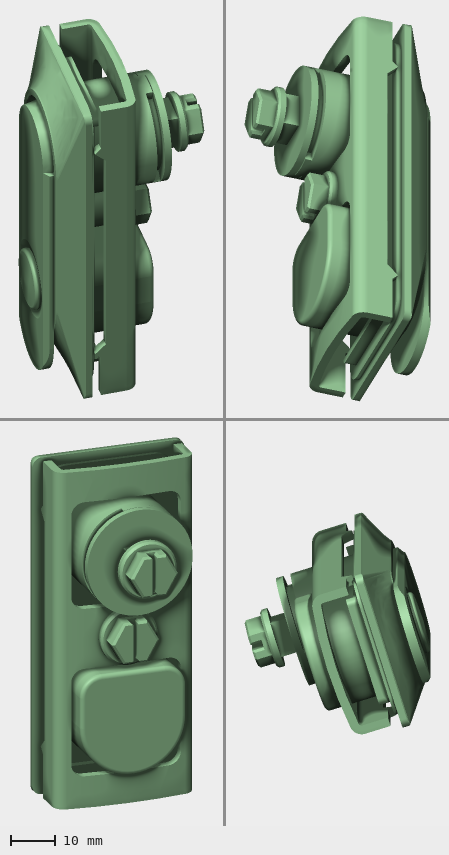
import cadquery as cq
import math


LENGTH = 80.0
SPINDLE_Z = 20.0
BUTTON_Z = -17.0
CLEARANCE = 0.2

BEZEL_WIDTH = 36.0
BEZEL_CORNER = 2.0
PLATE_FRONT_Y = -1.55
PLATE_BEVEL = 0.25
SLOPE_CORNER = 1.0
FACE_Y = -7.0
RIM_RADIUS = 13.2
RIM_BEVEL = 0.25
CORNER_STRIP_ANGLE = 4.0

GASKET_WIDTH = 31.0
GASKET_LENGTH = 75.5
GASKET_CORNER = 5.0
GASKET_BACK_Y = 1.0
BLOCK_WIDTH = 25.0
BLOCK_LENGTH = 68.6
BLOCK_CORNER = 1.5
BLOCK_BACK_Y = 2.0
TAB_BACK_Y = 3.7
BOSS_RADIUS = BLOCK_WIDTH / 2
BOSS_BACK_Y = 16.6
LOCK_BACK_Y = 16.0
LOCK_TOP_Z = -7.25
LOCK_ROUND_Z = -19.4
LOCK_CORNER = 5.0
LOCK_FILLET = 1.0
POST_RADIUS = 4.4

STOP_INNER_RADIUS = 10.0
STOP_OUTER_RADIUS = BOSS_RADIUS
STOP_SPAN = 30.0
HOUSING_STOP_START = 75.0
SPINDLE_STOP_START = HOUSING_STOP_START + STOP_SPAN

HANDLE_HALF_WIDTH = 11.25
HANDLE_FRONT_Y = -9.05
HANDLE_TIP_RADIUS = 9.65
RECESS_DEPTH = 5.0
RECESS_FLOOR_Y = FACE_Y + RECESS_DEPTH
RECESS_RADIUS = HANDLE_HALF_WIDTH + CLEARANCE
HANDLE_BEVEL_WIDTH = HANDLE_HALF_WIDTH - HANDLE_TIP_RADIUS
HANDLE_BEVEL_DEPTH = 1.05
DISH_RADIUS = 9.0
DISH_DEPTH = 0.4
BUTTON_RADIUS = 7.0
BUTTON_TOP_RADIUS = 6.15
BUTTON_SHOULDER_Y = -9.4
BUTTON_EDGE_Y = -10.05
BUTTON_TIP_Y = -10.5

DISC_BACK_Y = 20.0
DISC_FRONT_Y = 18.4
DISC_RADIUS = BOSS_RADIUS
SHAFT_RADIUS = 5.0
SQUARE_SIZE = 8.0
SQUARE_BACK_Y = 23.9

SCREW_Z = 0.0
HEX_CORNER_RADIUS = 5.6
HEX_HEIGHT = 4.0
HEX_BEVEL = 0.5
SCREW_FLANGE_RADIUS = 6.75
SCREW_FLANGE_HEIGHT = 1.75
SCREW_FLANGE_BEVEL = 0.5
SCREW_SLOT_WIDTH = 1.3
SCREW_SLOT_FLARE = 0.55
SCREW_SLOT_DEPTH = 2.7
SHANK_RADIUS = 3.0
SHANK_LENGTH = 9.0

BRACKET_WIDTH = 33.0
BRACKET_SHEET = 2.0
BRACKET_PEAK_Y = 12.0
BRACKET_ARCH_RADIUS = 100.0
BRACKET_BEND = 2.75
LEG_END_Y = 2.4
LEG_MIDDLE_Y = 3.5
POINT_Z = 28.2
POINT_END_Z = 29.5
POINT_MIDDLE_Z = 25.9
WINDOW_WIDTH = 26.0
WINDOW_CORNER = 3.0
UPPER_WINDOW = (7.3, 32.65)
LOWER_WINDOW = (-32.5, -6.95)
CLAMP_SEAT_Y = 11.75


def at_y(y):
    """Sketch plane with X across and Z up; extrusions run toward -Y."""
    return cq.Workplane("XZ", origin=(0, y, 0))


def disc(radius, back_y, front_y, z):
    return at_y(back_y).center(0, z).circle(radius).extrude(back_y - front_y)


def block(width, length, back_y, front_y, corner):
    return at_y(back_y).rect(width, length).extrude(back_y - front_y).edges("|Y").fillet(corner)


def capsule(half_width, upper_z, lower_z, back_y, front_y):
    """Round-ended slab with its two arc centres at upper_z and lower_z."""
    return (
        at_y(back_y)
        .moveTo(-half_width, lower_z)
        .lineTo(-half_width, upper_z)
        .threePointArc((0, upper_z + half_width), (half_width, upper_z))
        .lineTo(half_width, lower_z)
        .threePointArc((0, lower_z - half_width), (-half_width, lower_z))
        .close()
        .extrude(back_y - front_y)
    )


def cone_slab(radius_back, radius_front, back_y, front_y, z):
    return cq.Workplane(
        cq.Solid.makeCone(
            radius_back, radius_front, back_y - front_y, cq.Vector(0, back_y, z), cq.Vector(0, -1, 0)
        )
    )


def polar(radius, angle, center_x, center_z):
    return (
        center_x + radius * math.cos(math.radians(angle)),
        center_z + radius * math.sin(math.radians(angle)),
    )


def ring_sector(start_angle, back_y, front_y):
    """Stop lug around the spindle axis."""

    def point(radius, angle):
        return polar(radius, angle, 0, SPINDLE_Z)

    middle = start_angle + STOP_SPAN / 2
    end = start_angle + STOP_SPAN
    return (
        at_y(back_y)
        .moveTo(*point(STOP_INNER_RADIUS, start_angle))
        .lineTo(*point(STOP_OUTER_RADIUS, start_angle))
        .threePointArc(point(STOP_OUTER_RADIUS, middle), point(STOP_OUTER_RADIUS, end))
        .lineTo(*point(STOP_INNER_RADIUS, end))
        .threePointArc(point(STOP_INNER_RADIUS, middle), point(STOP_INNER_RADIUS, start_angle))
        .close()
        .extrude(back_y - front_y)
    )


def rectangle_wire(inset, radius, y):
    """Rounded rectangle of the bezel plate, one edge for each edge of rim_wire."""
    half_width = BEZEL_WIDTH / 2 - inset
    half_length = LENGTH / 2 - inset
    x = half_width - radius
    z = half_length - radius
    return (
        at_y(y)
        .moveTo(-half_width, -z)
        .lineTo(-half_width, z)
        .threePointArc(polar(radius, 135, -x, z), (-x, half_length))
        .lineTo(x, half_length)
        .threePointArc(polar(radius, 45, x, z), (half_width, z))
        .lineTo(half_width, -z)
        .threePointArc(polar(radius, -45, x, -z), (x, -half_length))
        .lineTo(-x, -half_length)
        .threePointArc(polar(radius, -135, -x, -z), (-half_width, -z))
        .close()
        .val()
    )


def rim_wire(radius, y):
    """Round-ended rim outline; a short piece of each end arc belongs to a bezel corner."""
    strip = CORNER_STRIP_ANGLE

    def upper(angle):
        return polar(radius, angle, 0, SPINDLE_Z)

    def lower(angle):
        return polar(radius, angle, 0, BUTTON_Z)

    return (
        at_y(y)
        .moveTo(*lower(180))
        .lineTo(*upper(180))
        .threePointArc(upper(180 - strip / 2), upper(180 - strip))
        .threePointArc(upper(90), upper(strip))
        .threePointArc(upper(strip / 2), upper(0))
        .lineTo(*lower(0))
        .threePointArc(lower(-strip / 2), lower(-strip))
        .threePointArc(lower(-90), lower(strip - 180))
        .threePointArc(lower(strip / 2 - 180), lower(-180))
        .close()
        .val()
    )


def loft(first_wire, second_wire):
    return cq.Workplane(cq.Solid.makeLoft([first_wire, second_wire], True))


def make_bezel():
    plate = block(BEZEL_WIDTH, LENGTH, 0, PLATE_FRONT_Y, BEZEL_CORNER)
    bevel_y = PLATE_FRONT_Y - PLATE_BEVEL
    rim_y = FACE_Y + RIM_BEVEL
    plate_wire = rectangle_wire(0, BEZEL_CORNER, PLATE_FRONT_Y)
    slope_wire = rectangle_wire(PLATE_BEVEL, SLOPE_CORNER, bevel_y)
    bevel = loft(plate_wire, slope_wire)
    slopes = loft(slope_wire, rim_wire(RIM_RADIUS, rim_y))
    rim = loft(rim_wire(RIM_RADIUS, rim_y), rim_wire(RIM_RADIUS - RIM_BEVEL, FACE_Y))
    return plate.union(bevel).union(slopes).union(rim)


def make_housing_back():
    gasket = block(GASKET_WIDTH, GASKET_LENGTH, GASKET_BACK_Y, 0, GASKET_CORNER)
    base = block(BLOCK_WIDTH, BLOCK_LENGTH, TAB_BACK_Y, 0, BLOCK_CORNER)
    between_tabs = at_y(TAB_BACK_Y).rect(BLOCK_WIDTH, BLOCK_LENGTH - 2 * BLOCK_CORNER)
    base = base.cut(between_tabs.extrude(TAB_BACK_Y - BLOCK_BACK_Y))
    boss = disc(BOSS_RADIUS, BOSS_BACK_Y, 0, SPINDLE_Z)
    post = disc(POST_RADIUS, BRACKET_PEAK_Y - BRACKET_SHEET - CLEARANCE, 0, SCREW_Z)
    back = gasket.union(base).union(boss).union(post).union(make_lock_case())
    for start in (HOUSING_STOP_START, HOUSING_STOP_START + 180):
        back = back.union(ring_sector(start, DISC_FRONT_Y - CLEARANCE, BOSS_BACK_Y))
    return back


def make_lock_case():
    half_width = BLOCK_WIDTH / 2
    corner_z = LOCK_TOP_Z - LOCK_CORNER
    corner_x = half_width - LOCK_CORNER
    case = (
        at_y(LOCK_BACK_Y)
        .moveTo(-half_width, LOCK_ROUND_Z)
        .lineTo(-half_width, corner_z)
        .threePointArc(polar(LOCK_CORNER, 135, -corner_x, corner_z), (-corner_x, LOCK_TOP_Z))
        .lineTo(corner_x, LOCK_TOP_Z)
        .threePointArc(polar(LOCK_CORNER, 45, corner_x, corner_z), (half_width, corner_z))
        .lineTo(half_width, LOCK_ROUND_Z)
        .threePointArc((0, LOCK_ROUND_Z - half_width), (-half_width, LOCK_ROUND_Z))
        .close()
        .extrude(LOCK_BACK_Y)
    )
    return case.faces(">Y").edges().fillet(LOCK_FILLET)


def make_housing():
    housing = make_bezel().union(make_housing_back())
    recess = capsule(RECESS_RADIUS, SPINDLE_Z, BUTTON_Z, RECESS_FLOOR_Y, FACE_Y)
    spindle_bore = disc(SHAFT_RADIUS, BOSS_BACK_Y, RECESS_FLOOR_Y, SPINDLE_Z)
    shank_end_y = CLAMP_SEAT_Y - SHANK_LENGTH
    screw_bore = disc(SHANK_RADIUS, BRACKET_PEAK_Y, shank_end_y, SCREW_Z)
    return housing.cut(recess).cut(spindle_bore).cut(screw_bore)


def make_lever():
    tip_cone = cone_slab(
        HANDLE_HALF_WIDTH, HANDLE_TIP_RADIUS, RECESS_FLOOR_Y, HANDLE_FRONT_Y, SPINDLE_Z
    )
    insert = capsule(HANDLE_HALF_WIDTH, SPINDLE_Z, BUTTON_Z, RECESS_FLOOR_Y, FACE_Y)
    grip_round_z = HANDLE_HALF_WIDTH - LENGTH / 2
    grip = capsule(HANDLE_HALF_WIDTH, SPINDLE_Z, grip_round_z, FACE_Y, HANDLE_FRONT_Y)
    above_axis = (
        cq.Workplane()
        .box(BEZEL_WIDTH, LENGTH, LENGTH, centered=(True, True, False))
        .translate((0, 0, SPINDLE_Z))
    )
    lever = insert.union(grip).cut(above_axis).union(tip_cone)
    for side in (-1, 1):
        bevel = (
            cq.Workplane("XY", origin=(0, 0, -LENGTH / 2))
            .moveTo(side * HANDLE_HALF_WIDTH, HANDLE_FRONT_Y)
            .lineTo(side * (HANDLE_HALF_WIDTH - HANDLE_BEVEL_WIDTH), HANDLE_FRONT_Y)
            .lineTo(side * HANDLE_HALF_WIDTH, HANDLE_FRONT_Y + HANDLE_BEVEL_DEPTH)
            .close()
            .extrude(LENGTH / 2 + SPINDLE_Z)
        )
        lever = lever.cut(bevel)
    return lever


def make_button():
    edge_drop = BUTTON_RADIUS - BUTTON_TOP_RADIUS
    arc_middle = math.sqrt(0.5)
    edge_height = BUTTON_SHOULDER_Y - BUTTON_EDGE_Y
    return (
        cq.Workplane("XY")
        .moveTo(0, HANDLE_FRONT_Y + 2 * DISH_DEPTH)
        .lineTo(BUTTON_RADIUS, HANDLE_FRONT_Y + 2 * DISH_DEPTH)
        .lineTo(BUTTON_RADIUS, BUTTON_SHOULDER_Y)
        .threePointArc(
            (BUTTON_TOP_RADIUS + edge_drop * arc_middle, BUTTON_SHOULDER_Y - edge_height * arc_middle),
            (BUTTON_TOP_RADIUS, BUTTON_EDGE_Y),
        )
        .lineTo(0, BUTTON_TIP_Y)
        .close()
        .revolve(360, (0, 0, 0), (0, 1, 0))
        .translate((0, 0, BUTTON_Z))
    )


def make_spindle():
    shaft = disc(SHAFT_RADIUS, BOSS_BACK_Y, RECESS_FLOOR_Y, SPINDLE_Z)
    neck = disc(STOP_INNER_RADIUS, DISC_FRONT_Y, BOSS_BACK_Y, SPINDLE_Z)
    stop_disc = disc(DISC_RADIUS, DISC_BACK_Y, DISC_FRONT_Y, SPINDLE_Z)
    square = (
        at_y(SQUARE_BACK_Y)
        .center(0, SPINDLE_Z)
        .rect(SQUARE_SIZE, SQUARE_SIZE)
        .extrude(SQUARE_BACK_Y - DISC_BACK_Y)
    )
    spindle = shaft.union(neck).union(stop_disc).union(square)
    for start in (SPINDLE_STOP_START, SPINDLE_STOP_START + 180):
        spindle = spindle.union(ring_sector(start, DISC_FRONT_Y, BOSS_BACK_Y + CLEARANCE))
    screw_bore = disc(SHANK_RADIUS, SQUARE_BACK_Y, SQUARE_BACK_Y - SHANK_LENGTH, SPINDLE_Z)
    return spindle.cut(screw_bore)


def make_handle():
    dish = cone_slab(BUTTON_RADIUS, DISH_RADIUS, HANDLE_FRONT_Y + DISH_DEPTH, HANDLE_FRONT_Y, BUTTON_Z)
    return make_lever().cut(dish).union(make_button()).union(make_spindle())


def make_screw_slot(head_back_y, z):
    """Slot across the hexagon flats, its ends widened at 45 degrees."""
    half_width = SCREW_SLOT_WIDTH / 2
    end_half_width = half_width + SCREW_SLOT_FLARE
    end_z = HEX_CORNER_RADIUS * math.cos(math.radians(30))
    flare_z = end_z - SCREW_SLOT_FLARE
    return (
        at_y(head_back_y)
        .center(0, z)
        .polyline(
            [
                (end_half_width, end_z),
                (half_width, flare_z),
                (half_width, -flare_z),
                (end_half_width, -end_z),
                (-end_half_width, -end_z),
                (-half_width, -flare_z),
                (-half_width, flare_z),
                (-end_half_width, end_z),
            ]
        )
        .close()
        .extrude(SCREW_SLOT_DEPTH)
    )


def make_screw(seat_y, z):
    """Screw whose flange sits at seat_y, head toward +Y."""
    flange_back_y = seat_y + SCREW_FLANGE_HEIGHT
    head_back_y = flange_back_y + HEX_HEIGHT
    flange = disc(SCREW_FLANGE_RADIUS, flange_back_y, seat_y, z).faces(">Y").chamfer(SCREW_FLANGE_BEVEL)
    hexagon = at_y(head_back_y).center(0, z).polygon(6, 2 * HEX_CORNER_RADIUS).extrude(HEX_HEIGHT)
    hexagon = hexagon.faces(">Y").chamfer(HEX_BEVEL)
    slot = make_screw_slot(head_back_y, z)
    shank = disc(SHANK_RADIUS, seat_y, seat_y - SHANK_LENGTH, z)
    return flange.union(hexagon).cut(slot).union(shank)


def arch_solid(offset):
    """Bent channel filled solid, set in from the outer surface by offset."""
    half_width = BRACKET_WIDTH / 2 - offset
    radius = BRACKET_ARCH_RADIUS - offset
    arch_center_y = BRACKET_PEAK_Y - BRACKET_ARCH_RADIUS
    edge_y = arch_center_y + math.sqrt(radius**2 - half_width**2)
    return (
        cq.Workplane("XY", origin=(0, 0, -LENGTH / 2))
        .moveTo(-half_width, GASKET_BACK_Y)
        .lineTo(-half_width, edge_y)
        .threePointArc((0, arch_center_y + radius), (half_width, edge_y))
        .lineTo(half_width, GASKET_BACK_Y)
        .close()
        .extrude(LENGTH)
        .edges("|Z")
        .edges(">Y")
        .fillet(BRACKET_BEND - offset)
    )


def leg_profile():
    """Side outline of the legs, with a point toward the gasket near each end."""
    half_length = LENGTH / 2
    return (
        cq.Workplane("YZ", origin=(-BRACKET_WIDTH / 2, 0, 0))
        .polyline(
            [
                (BRACKET_PEAK_Y, half_length),
                (LEG_END_Y, half_length),
                (LEG_END_Y, POINT_END_Z),
                (GASKET_BACK_Y, POINT_Z),
                (LEG_MIDDLE_Y, POINT_MIDDLE_Z),
                (LEG_MIDDLE_Y, -POINT_MIDDLE_Z),
                (GASKET_BACK_Y, -POINT_Z),
                (LEG_END_Y, -POINT_END_Z),
                (LEG_END_Y, -half_length),
                (BRACKET_PEAK_Y, -half_length),
            ]
        )
        .close()
        .extrude(BRACKET_WIDTH)
    )


def make_bracket():
    bracket = arch_solid(0).cut(arch_solid(BRACKET_SHEET)).intersect(leg_profile())
    for low_z, high_z in (UPPER_WINDOW, LOWER_WINDOW):
        window = block(WINDOW_WIDTH, high_z - low_z, BRACKET_PEAK_Y, LEG_MIDDLE_Y, WINDOW_CORNER)
        bracket = bracket.cut(window.translate((0, 0, (low_z + high_z) / 2)))
    bracket = bracket.cut(disc(SCREW_FLANGE_RADIUS, BRACKET_PEAK_Y, CLAMP_SEAT_Y, SCREW_Z))
    return bracket.cut(disc(SHANK_RADIUS, BRACKET_PEAK_Y, LEG_MIDDLE_Y, SCREW_Z))


housing = make_housing()
handle = make_handle()
bracket = make_bracket()
screws = [make_screw(seat_y, z) for seat_y, z in ((CLAMP_SEAT_Y, SCREW_Z), (SQUARE_BACK_Y, SPINDLE_Z))]

result = cq.Compound.makeCompound(
    [housing.val(), handle.val(), bracket.val(), *[screw.val() for screw in screws]]
)